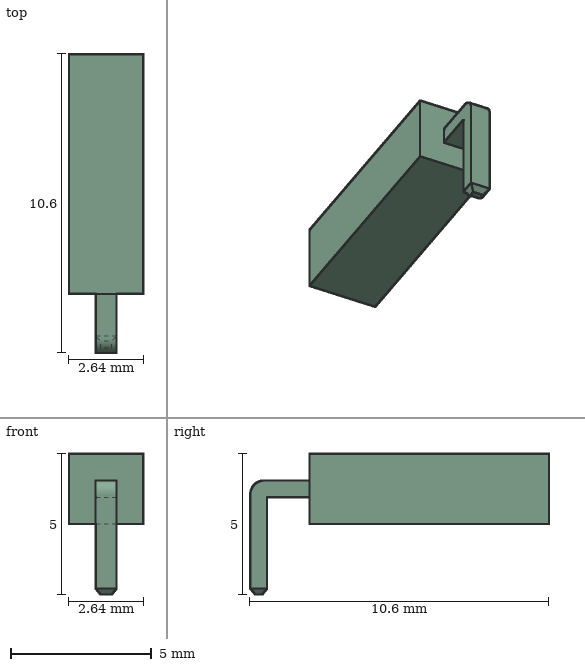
import cadquery as cq

body_width = 2.64
body_length = 8.5
body_height = 2.5

total_length = 10.6
total_height = 5.0
pin_width = 0.75
pin_thickness = 0.6
bend_radius = 0.5
tip_height = 0.22
tip_inset = 0.18

pin_reach = total_length - body_length
pin_top = pin_thickness / 2
pin_bottom = body_height / 2 - total_height
tip_start = pin_bottom + tip_height


def make_body():
    """Block with its front face on Y = 0, extending toward +Y."""
    return cq.Workplane("XY").box(
        body_width, body_length, body_height, centered=(True, False, True)
    )


def make_bent_bar():
    """L-shaped bar with a rounded outer corner and a sharp inner corner."""
    inner_y = pin_thickness - pin_reach
    return (
        cq.Workplane("YZ")
        .moveTo(0, pin_top)
        .lineTo(bend_radius - pin_reach, pin_top)
        .radiusArc((-pin_reach, pin_top - bend_radius), -bend_radius)
        .lineTo(-pin_reach, tip_start)
        .lineTo(inner_y, tip_start)
        .lineTo(inner_y, -pin_thickness / 2)
        .lineTo(0, -pin_thickness / 2)
        .close()
        .extrude(pin_width / 2, both=True)
    )


def make_tip():
    """Tapered end of the downward leg, narrowing equally on all four sides."""
    leg_centre_y = pin_thickness / 2 - pin_reach
    return (
        cq.Workplane("XY", origin=(0, leg_centre_y, tip_start))
        .rect(pin_width, pin_thickness)
        .workplane(offset=-tip_height)
        .rect(pin_width - 2 * tip_inset, pin_thickness - 2 * tip_inset)
        .loft(combine=True)
    )


result = make_body().union(make_bent_bar()).union(make_tip())